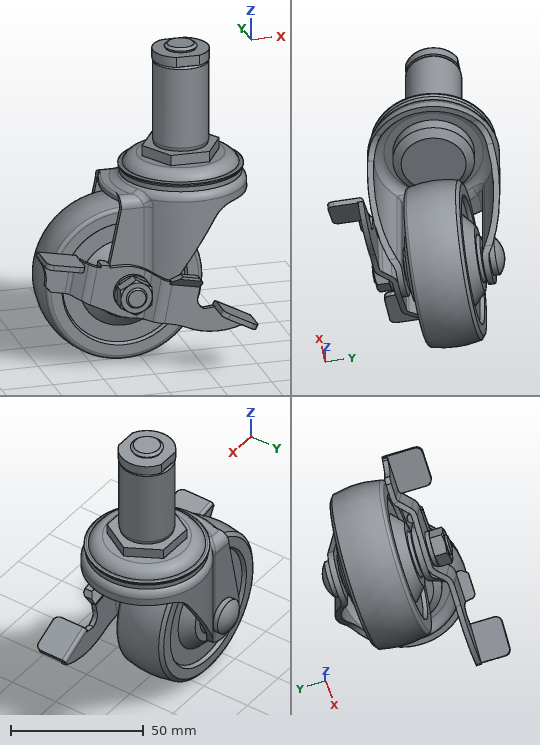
import cadquery as cq
import math


TOTAL_HEIGHT = 122.0
WHEEL_RADIUS = 31.6
AXLE_X = -24.9
AXLE_Z = WHEEL_RADIUS
AXLE_RADIUS = 4.0

POST_RADIUS = 10.6
POST_BOTTOM_Z = 82.2
POST_TOP_Z = 116.1
POST_CHAMFER = 0.9
POST_NECK_RADIUS = 10.2
POST_NECK_HEIGHT = 1.5
CAP_RADIUS = 10.9
CAP_TOP_Z = 120.2
CAP_FLAT_Y = 9.9
BUTTON_NECK_RADIUS = 5.7
BUTTON_RIM_RADIUS = 6.2
BUTTON_TOP_RADIUS = 5.1
BUTTON_RIM_Z = 121.0
HEX_FLATS = 26.1
COVER_TOP_Z = 78.1
COVER_TOP_RADIUS = 16.7
COVER_SIDE_RADIUS = 22.1
COVER_RIM_RADIUS = 23.7
COVER_RIM_Z = 74.4
COVER_LEDGE_RADIUS = 22.8
COVER_RIM_DROP = 0.2
COVER_RIM_THICKNESS = 0.5
RING_RADIUS = 23.2
RING_TOP_Z = 72.8
KINGPIN_RADIUS = 8.5
RACE_RADIUS = 15.4
RACE_BOTTOM_RADIUS = 12.2
RACE_SHOULDER_Z = 63.7
RACE_BOTTOM_Z = 61.4

SHEET = 2.3
FORK_TOP_Z = 70.9
CUP_TOP_RADIUS = 21.0
CUP_RADIUS = 24.9
CUP_SHOULDER_Z = 67.3
CUP_RIM_Z = 64.3
LEG_OUTER_Y = 17.7
CHANNEL_TOP_Z = 68.6
CHANNEL_BEND = 4.3
CHANNEL_FRONT_X = -28.3
LIP_FRONT_X = -31.0
LIP_EDGE_FILLET = 1.0
FLARE_BLEND = 4.9
LEG_END_X = -24.2
LEG_END_RADIUS = 10.7
REAR_EDGE_X = 9.6
REAR_EDGE_BLEND = 9.8

WHEEL_HALF_WIDTH = 10.6
TREAD_HALF_WIDTH = 9.4
TREAD_EDGE_RADIUS = 30.5
SIDE_OUTER_RADIUS = 28.9
RIM_STEP_RADIUS = 24.6
WEB_OUTER_RADIUS = 23.9
WEB_Y = 9.0
HUB_BASE_RADIUS = 17.3
HUB_SHOULDER_RADIUS = 12.5
HUB_SHOULDER_Y = 13.4
BOSS_BASE_RADIUS = 9.3
BOSS_TOP_RADIUS = 8.2
BOSS_Y = 14.6

LEVER_TILT = 11.0
LEVER_SHEET = 2.1
LEVER_FRONT_Y = -12.9
LEVER_MIDDLE_Y = -(LEG_OUTER_Y + LEVER_SHEET / 2)
LEVER_REAR_Y = -24.4
FRONT_BEND_U = -22.6
REAR_BEND_U = 11.3
FRONT_BEND_RADIUS = 2.5
REAR_BEND_RADIUS = 3.7
FRONT_PAD_START_U = -37.5
FRONT_PAD_END_U = -22.2
FRONT_PAD_TOP_V = 10.4
FRONT_PAD_EDGE_Y = -27.2
REAR_PAD_LENGTH = 15.2
REAR_PAD_TILT = 16.6
REAR_PAD_U = 32.0
REAR_PAD_V = 1.0
REAR_PAD_EDGE_Y = -37.2
PAD_CORNER = 2.5
PAD_BEND_RADIUS = 1.5
RELEASE_TAB_U = 12.5
RELEASE_TAB_LENGTH = 11.8
RELEASE_TAB_BASE_V = 6.1
RELEASE_TAB_TOP_V = 10.9
RELEASE_TAB_TIP_Y = -29.3
RELEASE_TAB_TIP_HEIGHT = 1.1
RELEASE_TAB_TOP_WIDTH = 3.2
RELEASE_TAB_FRONT_CORNER = 3.2
RELEASE_TAB_REAR_CORNER = 2.0
STOP_TAB_U = -13.9
STOP_TAB_LENGTH = 3.7
STOP_TAB_TOP_V = 9.5
STOP_TAB_TIP_Y = -13.9
STOP_TAB_CORNER = 1.1

LEVER_TOP_EDGE = [(-18.5, 8.9), (-15.2, 8.5), (-9.8, 8.8), (-3.0, 10.0), (3.0, 9.3), (7.9, 7.8), (13.0, 7.2)]
NOTCH_TOP = (24.4, 6.7)
NOTCH_START = (24.4, 3.2)
NOTCH_MIDDLE = (24.8, 0.1)
NOTCH_END = (27.7, -2.3)
REAR_BELLY = (36.6, -10.2)
LEVER_BOTTOM_START = (21.5, -10.1)
LEVER_BOTTOM_EDGE = [(13.7, -9.5), (4.9, -10.1), (-1.3, -10.2), (-9.2, -8.3), (-15.6, -6.5), (-22.1, -4.9)]
FRONT_CORNER = (-29.8, -4.8)
FRONT_EDGE_BOTTOM = (-32.1, -2.8)
FRONT_EDGE_MIDDLE = (-33.9, 4.1)
FRONT_EDGE_TOP = (-36.4, 7.1)

HEAD_RADIUS = 7.1
HEAD_RIM = 2.2
HEAD_HEIGHT = 4.9
WASHER_RADIUS = 7.1
WASHER_THICKNESS = 1.6
NUT_FLATS = 12.3
NUT_HEIGHT = 5.2
NUT_FACE_RADIUS = 6.1
NUT_CHAMFER = 0.6
TIP_LENGTH = 0.7
TIP_END_RADIUS = 3.4

LEVER_OUTER_Y = -(LEG_OUTER_Y + LEVER_SHEET)


def revolved_about_axle(points):
    """Solid of revolution about the axle line from (radius, y) points, placed on the axle."""
    solid = cq.Workplane("XY").polyline(points).close().revolve(360, (0, 0), (0, 1))
    return solid.translate((AXLE_X, 0, AXLE_Z))


def axle_cylinder(radius, y_from, y_to):
    """Cylinder on the axle line between two Y positions."""
    return revolved_about_axle([(0, y_from), (radius, y_from), (radius, y_to), (0, y_to)])


def make_stem():
    cup_roof_z = FORK_TOP_Z - SHEET
    head = (
        cq.Workplane("XZ")
        .moveTo(0, COVER_TOP_Z)
        .lineTo(COVER_TOP_RADIUS, COVER_TOP_Z)
        .tangentArcPoint((COVER_SIDE_RADIUS, COVER_RIM_Z), relative=False)
        .lineTo(COVER_LEDGE_RADIUS, COVER_RIM_Z)
        .lineTo(COVER_RIM_RADIUS, COVER_RIM_Z - COVER_RIM_DROP)
        .lineTo(COVER_RIM_RADIUS, COVER_RIM_Z - COVER_RIM_DROP - COVER_RIM_THICKNESS)
        .lineTo(RING_RADIUS, RING_TOP_Z)
        .lineTo(RING_RADIUS, FORK_TOP_Z)
        .lineTo(KINGPIN_RADIUS, FORK_TOP_Z)
        .lineTo(KINGPIN_RADIUS, cup_roof_z)
        .lineTo(RACE_RADIUS, cup_roof_z)
        .lineTo(RACE_RADIUS, RACE_SHOULDER_Z)
        .lineTo(RACE_BOTTOM_RADIUS, RACE_BOTTOM_Z)
        .lineTo(0, RACE_BOTTOM_Z)
        .close()
        .revolve(360, (0, 0), (0, 1))
    )
    hexagon = (
        cq.Workplane("XY")
        .workplane(offset=COVER_TOP_Z)
        .polygon(6, HEX_FLATS / math.cos(math.pi / 6))
        .extrude(POST_BOTTOM_Z - COVER_TOP_Z)
    )
    post = (
        cq.Workplane("XZ")
        .moveTo(0, POST_BOTTOM_Z)
        .lineTo(POST_NECK_RADIUS, POST_BOTTOM_Z)
        .lineTo(POST_RADIUS, POST_BOTTOM_Z + POST_NECK_HEIGHT)
        .lineTo(POST_RADIUS, POST_TOP_Z - POST_CHAMFER)
        .lineTo(POST_RADIUS - POST_CHAMFER, POST_TOP_Z)
        .lineTo(0, POST_TOP_Z)
        .close()
        .revolve(360, (0, 0), (0, 1))
    )
    cap = (
        cq.Workplane("XY")
        .workplane(offset=POST_TOP_Z)
        .circle(CAP_RADIUS)
        .extrude(CAP_TOP_Z - POST_TOP_Z)
    )
    flats = cq.Workplane("XY").box(2 * CAP_RADIUS, 2 * CAP_FLAT_Y, 2 * TOTAL_HEIGHT)
    button = (
        cq.Workplane("XZ")
        .moveTo(0, CAP_TOP_Z)
        .lineTo(BUTTON_NECK_RADIUS, CAP_TOP_Z)
        .lineTo(BUTTON_RIM_RADIUS, BUTTON_RIM_Z)
        .lineTo(BUTTON_TOP_RADIUS, TOTAL_HEIGHT)
        .lineTo(0, TOTAL_HEIGHT)
        .close()
        .revolve(360, (0, 0), (0, 1))
    )
    return head.union(hexagon).union(post).union(cap.intersect(flats)).union(button)


def fork_envelope(inset):
    """Filled fork shape; an inset of one sheet thickness gives the space inside it."""
    cup = (
        cq.Workplane("XZ")
        .moveTo(0, FORK_TOP_Z - inset)
        .lineTo(CUP_TOP_RADIUS - inset, FORK_TOP_Z - inset)
        .tangentArcPoint((CUP_RADIUS - inset, CUP_SHOULDER_Z - inset), relative=False)
        .lineTo(CUP_RADIUS - inset, 0)
        .lineTo(0, 0)
        .close()
        .revolve(360, (0, 0), (0, 1))
    )
    half_width = LEG_OUTER_Y - inset
    length = 2 * LEG_END_RADIUS - AXLE_X
    channel = (
        cq.Workplane("XY")
        .box(length, 2 * half_width, CHANNEL_TOP_Z - inset, centered=(False, True, False))
        .translate((-length, 0, 0))
        .edges("|X and >Z")
        .fillet(CHANNEL_BEND - inset)
    )
    junction = cq.selectors.BoxSelector(
        (-CUP_RADIUS, -CUP_TOP_RADIUS, 1.2), (-CUP_TOP_RADIUS / 2, CUP_TOP_RADIUS, CHANNEL_TOP_Z + 1.2)
    )
    return cup.union(channel).edges(junction).fillet(FLARE_BLEND)


def tangent_point_on_leg_end(x, z, side):
    """Where the line from (x, z) touches the round leg end; side is +1 for front, -1 for rear."""
    to_point = math.atan2(z - AXLE_Z, x - LEG_END_X)
    half_angle = math.acos(LEG_END_RADIUS / math.hypot(x - LEG_END_X, z - AXLE_Z))
    angle = to_point + side * half_angle
    return (LEG_END_X + LEG_END_RADIUS * math.cos(angle), AXLE_Z + LEG_END_RADIUS * math.sin(angle))


def fork_side_silhouette():
    front_point = (CHANNEL_FRONT_X, CUP_RIM_Z)
    rear_point = (REAR_EDGE_X, CUP_RIM_Z)
    silhouette = (
        cq.Workplane("XZ")
        .moveTo(CHANNEL_FRONT_X, FORK_TOP_Z)
        .lineTo(*front_point)
        .lineTo(*tangent_point_on_leg_end(*front_point, 1))
        .threePointArc((LEG_END_X, AXLE_Z - LEG_END_RADIUS), tangent_point_on_leg_end(*rear_point, -1))
        .lineTo(*rear_point)
        .lineTo(CUP_RADIUS, CUP_RIM_Z)
        .lineTo(CUP_RADIUS, FORK_TOP_Z)
        .close()
        .extrude(CUP_RADIUS, both=True)
    )
    rear_corner = cq.selectors.NearestToPointSelector((REAR_EDGE_X, 0, CUP_RIM_Z))
    return silhouette.edges("|Y").edges(rear_corner).fillet(REAR_EDGE_BLEND)


def make_fork():
    shell = fork_envelope(0).cut(fork_envelope(SHEET)).intersect(fork_side_silhouette())
    lip_half_width = LEG_OUTER_Y - CHANNEL_BEND
    lip = (
        cq.Workplane("XY")
        .workplane(offset=CHANNEL_TOP_Z - SHEET)
        .moveTo(CHANNEL_FRONT_X, -lip_half_width)
        .threePointArc((LIP_FRONT_X, 0), (CHANNEL_FRONT_X, lip_half_width))
        .close()
        .extrude(SHEET)
        .faces(">Z")
        .edges("<X")
        .fillet(LIP_EDGE_FILLET)
    )
    kingpin_hole = cq.Workplane("XY").circle(KINGPIN_RADIUS).extrude(TOTAL_HEIGHT)
    axle_holes = axle_cylinder(AXLE_RADIUS, -CUP_RADIUS, CUP_RADIUS)
    head_seat = axle_cylinder(HEAD_RADIUS, LEG_OUTER_Y, CUP_RADIUS)
    return shell.union(lip).cut(kingpin_hole).cut(axle_holes).cut(head_seat)


def make_wheel():
    section = (
        cq.Workplane("XY")
        .moveTo(AXLE_RADIUS, -BOSS_Y)
        .lineTo(BOSS_TOP_RADIUS, -BOSS_Y)
        .lineTo(BOSS_BASE_RADIUS, -HUB_SHOULDER_Y)
        .lineTo(HUB_SHOULDER_RADIUS, -HUB_SHOULDER_Y)
        .lineTo(HUB_BASE_RADIUS, -WEB_Y)
        .lineTo(WEB_OUTER_RADIUS, -WEB_Y)
        .lineTo(RIM_STEP_RADIUS, -WHEEL_HALF_WIDTH)
        .lineTo(SIDE_OUTER_RADIUS, -WHEEL_HALF_WIDTH)
        .tangentArcPoint((TREAD_EDGE_RADIUS, -TREAD_HALF_WIDTH), relative=False)
        .threePointArc((WHEEL_RADIUS, 0), (TREAD_EDGE_RADIUS, TREAD_HALF_WIDTH))
        .lineTo(SIDE_OUTER_RADIUS, WHEEL_HALF_WIDTH)
        .lineTo(RIM_STEP_RADIUS, WHEEL_HALF_WIDTH)
        .lineTo(WEB_OUTER_RADIUS, WEB_Y)
        .lineTo(HUB_BASE_RADIUS, WEB_Y)
        .lineTo(HUB_SHOULDER_RADIUS, HUB_SHOULDER_Y)
        .lineTo(BOSS_BASE_RADIUS, HUB_SHOULDER_Y)
        .lineTo(BOSS_TOP_RADIUS, BOSS_Y)
        .lineTo(AXLE_RADIUS, BOSS_Y)
        .close()
    )
    return section.revolve(360, (0, 0), (0, 1)).translate((AXLE_X, 0, AXLE_Z))


def make_axle():
    dome_height = HEAD_HEIGHT - HEAD_RIM
    dome_radius = (HEAD_RADIUS**2 + dome_height**2) / (2 * dome_height)
    dome_centre_y = LEG_OUTER_Y + HEAD_HEIGHT - dome_radius
    dome_middle_y = dome_centre_y + math.sqrt(dome_radius**2 - (HEAD_RADIUS / 2) ** 2)
    head = (
        cq.Workplane("XY")
        .moveTo(0, LEG_OUTER_Y)
        .lineTo(HEAD_RADIUS, LEG_OUTER_Y)
        .lineTo(HEAD_RADIUS, LEG_OUTER_Y + HEAD_RIM)
        .threePointArc((HEAD_RADIUS / 2, dome_middle_y), (0, LEG_OUTER_Y + HEAD_HEIGHT))
        .close()
        .revolve(360, (0, 0), (0, 1))
        .translate((AXLE_X, 0, AXLE_Z))
    )
    washer_y = LEVER_OUTER_Y - WASHER_THICKNESS
    nut_y = washer_y - NUT_HEIGHT
    tip_y = nut_y - TIP_LENGTH
    nut_corner = NUT_FLATS / 2 / math.cos(math.pi / 6)
    shank = axle_cylinder(AXLE_RADIUS, nut_y, LEG_OUTER_Y)
    washer = axle_cylinder(WASHER_RADIUS, washer_y, LEVER_OUTER_Y)
    hexagon = (
        cq.Workplane("XZ", origin=(AXLE_X, washer_y, AXLE_Z))
        .transformed(rotate=(0, 0, 90))
        .polygon(6, 2 * nut_corner)
        .extrude(NUT_HEIGHT)
    )
    nut_turning = revolved_about_axle(
        [
            (0, washer_y),
            (nut_corner, washer_y),
            (nut_corner, nut_y + NUT_CHAMFER),
            (NUT_FACE_RADIUS, nut_y),
            (0, nut_y),
        ]
    )
    tip = revolved_about_axle([(0, nut_y), (AXLE_RADIUS, nut_y), (TIP_END_RADIUS, tip_y), (0, tip_y)])
    return head.union(shank).union(washer).union(hexagon.intersect(nut_turning)).union(tip)


def round_strip_corner(strip, corner, radius):
    nearest = cq.selectors.NearestToPointSelector((*corner, 0))
    return strip.edges("|Z").edges(nearest).fillet(radius)


def lever_strip():
    """Cranked sheet strip that steps away from the wheel through two pairs of 45 degree bends."""
    front_step = LEVER_FRONT_Y - LEVER_MIDDLE_Y
    rear_step = LEVER_MIDDLE_Y - LEVER_REAR_Y
    centre_line = [
        (FRONT_PAD_START_U, LEVER_FRONT_Y),
        (FRONT_BEND_U, LEVER_FRONT_Y),
        (FRONT_BEND_U + front_step, LEVER_MIDDLE_Y),
        (REAR_BEND_U - rear_step, LEVER_MIDDLE_Y),
        (REAR_BEND_U, LEVER_REAR_Y),
        (REAR_PAD_U + REAR_PAD_LENGTH, LEVER_REAR_Y),
    ]
    half = LEVER_SHEET / 2
    bend_shift = half * math.tan(math.pi / 8)
    shifts = [0, bend_shift, bend_shift, bend_shift, bend_shift, 0]
    wheel_side = [(u + shift, y + half) for (u, y), shift in zip(centre_line, shifts)]
    outer_side = [(u - shift, y - half) for (u, y), shift in zip(centre_line, shifts)]
    strip = (
        cq.Workplane("XY")
        .polyline(wheel_side + outer_side[::-1])
        .close()
        .extrude(WHEEL_RADIUS, both=True)
    )
    inside_radii = [FRONT_BEND_RADIUS, FRONT_BEND_RADIUS, REAR_BEND_RADIUS, REAR_BEND_RADIUS]
    for index, inside_radius in enumerate(inside_radii):
        outside_radius = inside_radius + LEVER_SHEET
        turns_outward = index % 2 == 0
        wheel_side_radius = outside_radius if turns_outward else inside_radius
        outer_side_radius = inside_radius if turns_outward else outside_radius
        strip = round_strip_corner(strip, wheel_side[index + 1], wheel_side_radius)
        strip = round_strip_corner(strip, outer_side[index + 1], outer_side_radius)
    return strip


def lever_outline():
    """Side outline of the lever plate, as a block across the whole width of the caster."""
    tilt = math.radians(REAR_PAD_TILT)
    rear_tip = (
        REAR_PAD_U + REAR_PAD_LENGTH * math.cos(tilt),
        REAR_PAD_V - LEVER_SHEET - REAR_PAD_LENGTH * math.sin(tilt),
    )
    return (
        cq.Workplane("XZ")
        .moveTo(FRONT_PAD_START_U, FRONT_PAD_TOP_V - LEVER_SHEET / 2)
        .lineTo(FRONT_PAD_END_U, FRONT_PAD_TOP_V - LEVER_SHEET / 2)
        .spline(LEVER_TOP_EDGE, includeCurrent=True)
        .lineTo(*NOTCH_TOP)
        .lineTo(*NOTCH_START)
        .threePointArc(NOTCH_MIDDLE, NOTCH_END)
        .lineTo(REAR_PAD_U, REAR_PAD_V - LEVER_SHEET)
        .lineTo(*rear_tip)
        .threePointArc(REAR_BELLY, LEVER_BOTTOM_START)
        .spline(LEVER_BOTTOM_EDGE, includeCurrent=True)
        .lineTo(*FRONT_CORNER)
        .lineTo(*FRONT_EDGE_BOTTOM)
        .threePointArc(FRONT_EDGE_MIDDLE, FRONT_EDGE_TOP)
        .close()
        .extrude(2 * CUP_RADIUS, both=True)
    )


def foot_pad(length, edge_y, plate_y):
    """Flat pad bent outward from a plate; its upper inner corner lies on the local origin line."""
    inner_y = plate_y + LEVER_SHEET / 2
    width = inner_y - edge_y
    pad = cq.Workplane("XY").box(length, width, LEVER_SHEET, centered=False)
    pad = pad.translate((0, edge_y, -LEVER_SHEET))
    pad = pad.edges("|Z and <Y").fillet(PAD_CORNER)
    return pad.edges("|X and >Y and >Z").fillet(PAD_BEND_RADIUS)


def release_tab():
    """Tab on the rear top edge, bent outward and upward."""
    wheel_face = LEVER_REAR_Y + LEVER_SHEET / 2
    outer_face = LEVER_REAR_Y - LEVER_SHEET / 2
    tab = (
        cq.Workplane("YZ")
        .moveTo(wheel_face, RELEASE_TAB_BASE_V)
        .lineTo(outer_face, RELEASE_TAB_BASE_V)
        .lineTo(RELEASE_TAB_TIP_Y, RELEASE_TAB_TOP_V - RELEASE_TAB_TIP_HEIGHT)
        .lineTo(RELEASE_TAB_TIP_Y, RELEASE_TAB_TOP_V)
        .lineTo(RELEASE_TAB_TIP_Y + RELEASE_TAB_TOP_WIDTH, RELEASE_TAB_TOP_V)
        .close()
        .extrude(RELEASE_TAB_LENGTH)
        .translate((RELEASE_TAB_U, 0, 0))
    )
    tab = tab.faces(">Z").edges("<X").chamfer(RELEASE_TAB_FRONT_CORNER)
    return tab.faces(">Z").edges(">X").chamfer(RELEASE_TAB_REAR_CORNER)


def stop_tab():
    """Small tab on the top edge, bent toward the wheel in front of the fork leg."""
    outer_face = LEVER_MIDDLE_Y - LEVER_SHEET / 2
    tab = cq.Workplane("XY").box(STOP_TAB_LENGTH, STOP_TAB_TIP_Y - outer_face, LEVER_SHEET, centered=False)
    tab = tab.translate((STOP_TAB_U, outer_face, STOP_TAB_TOP_V - LEVER_SHEET))
    return tab.edges("|Z and >Y").chamfer(STOP_TAB_CORNER)


def make_lever():
    plate = lever_strip().intersect(lever_outline())
    front_pad = foot_pad(FRONT_PAD_END_U - FRONT_PAD_START_U, FRONT_PAD_EDGE_Y, LEVER_FRONT_Y)
    front_pad = front_pad.translate((FRONT_PAD_START_U, 0, FRONT_PAD_TOP_V))
    rear_pad = foot_pad(REAR_PAD_LENGTH, REAR_PAD_EDGE_Y, LEVER_REAR_Y)
    rear_pad = rear_pad.rotate((0, 0, 0), (0, 1, 0), REAR_PAD_TILT)
    rear_pad = rear_pad.translate((REAR_PAD_U, 0, REAR_PAD_V))
    lever = plate.union(front_pad).union(rear_pad).union(release_tab()).union(stop_tab())
    lever = lever.rotate((0, 0, 0), (0, 1, 0), LEVER_TILT).translate((AXLE_X, 0, AXLE_Z))
    washer_seat = axle_cylinder(WASHER_RADIUS, LEVER_REAR_Y, LEVER_OUTER_Y)
    return lever.cut(axle_cylinder(AXLE_RADIUS, LEVER_OUTER_Y, 0)).cut(washer_seat)


stem = make_stem()
fork = make_fork()
wheel = make_wheel()
axle = make_axle()
lever = make_lever()

bodies = [stem, fork, wheel, axle, lever]
result = cq.Compound.makeCompound([body.solids().val() for body in bodies])